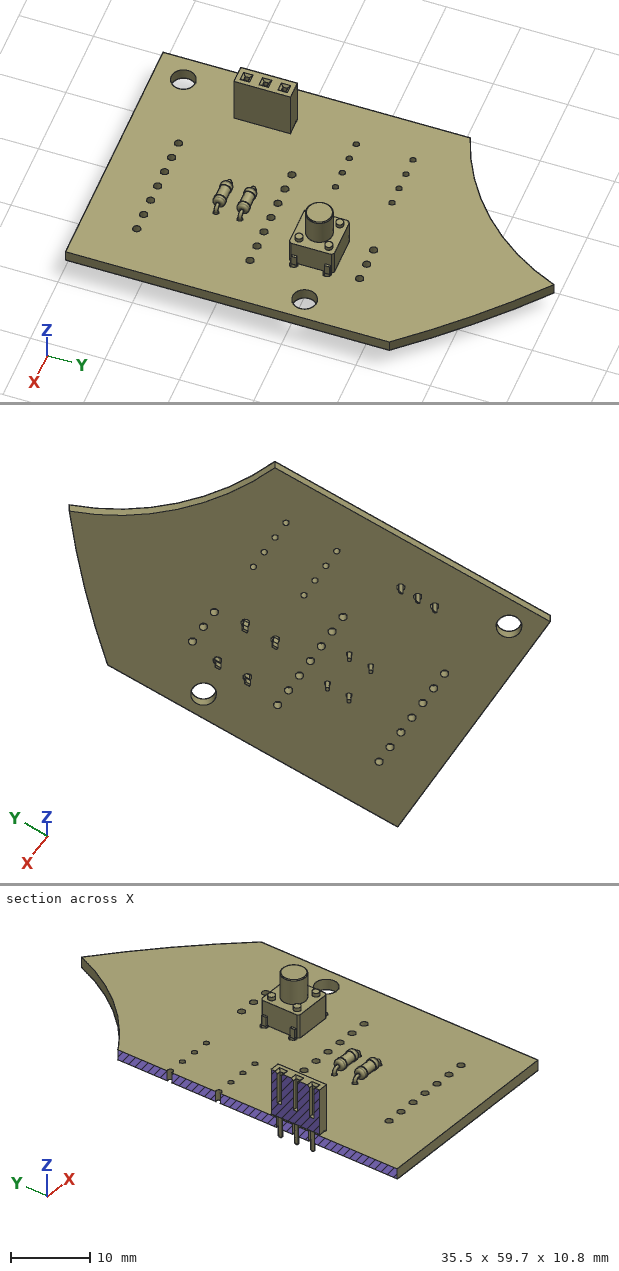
import cadquery as cq
import math


board_width = 35.5
board_length = 59.65
board_thickness = 1.6
left_edge_height = 41.3
right_edge_height = 43.5
peak_x = 19.3
concave_sagitta = 3.0
convex_sagitta = 0.5
mounting_hole_diameter = 3.2
mounting_hole_centres = [(3.4, 4.0), (32.5, 31.0)]

dip_row_length = 15.2
dip_hole_count = 7
pitch = dip_row_length / (dip_hole_count - 1)
grid_x = 5.95
dip_column = 3
dip_row_pitches = 6
dip_x = grid_x + dip_column * pitch
dip_lower_y = 7.1
dip_upper_y = dip_lower_y + dip_row_pitches * pitch
dip_hole_diameter = 1.0
small_ic_hole_count = 4
small_ic_lower_y = 28.15
small_ic_row_pitches = 3
small_ic_upper_y = small_ic_lower_y + small_ic_row_pitches * pitch
small_ic_hole_diameter = 0.8
sensor_hole_count = 3
sensor_x = 21.8
sensor_y = 36.3
sensor_hole_diameter = 1.0

button_x = 24.2
button_y = 29.95
button_width = 6.0
button_top = 5.2
button_corner_chamfer = 0.3
plunger_diameter = 3.5
plunger_top = 8.95
plunger_chamfer = 0.1
stud_diameter = 1.0
stud_spacing = 4.0
stud_top = 5.7
leg_spacing_x = 6.5
leg_spacing_y = 4.5
leg_width = 0.7
leg_thickness = 0.3
leg_bulge = 0.25
leg_top = 3.05
leg_bottom = -1.85
leg_bulge_top = 0.9
leg_bulge_bottom = -0.1
leg_bend_height = 0.7
leg_hole_diameter = 1.1

header_way_count = 3
header_x = grid_x
header_way_offset = 0.05
header_y = 16.0
header_width = 2.5
header_length = header_way_count * pitch
header_top = 8.65
header_recess_width = 1.75
header_recess_height = 0.1
socket_mouth = 1.25
socket_hole = 0.6
socket_funnel_depth = 0.3
socket_depth = 4.8
header_pin_thickness = 0.2
header_pin_width = 0.6
header_pin_tip_chamfer = 0.2
pin_bottom = -1.45
header_hole_diameter = 1.0

resistor_x = 20.2
resistor_rows = [15.5, 18.75]
resistor_lead_pitches = 2
resistor_lead_span = resistor_lead_pitches * pitch
resistor_length = 3.6
resistor_core_length = 1.8
resistor_core_diameter = 1.45
resistor_cap_diameter = 1.6
resistor_cap_fillet = 0.4
resistor_axis_height = board_thickness + resistor_cap_diameter / 2
lead_diameter = 0.5
lead_bend_radius = 0.6
lead_hole_diameter = 0.7

header_ways = [
    (header_x + header_way_offset, header_y + (i - (header_way_count - 1) / 2) * pitch)
    for i in range(header_way_count)
]
leg_centres = [
    (button_x + side_x * leg_spacing_x / 2, button_y + side_y * leg_spacing_y / 2)
    for side_x in (-1, 1)
    for side_y in (-1, 1)
]
lead_centres = [
    (resistor_x + side * resistor_lead_span / 2, y) for y in resistor_rows for side in (-1, 1)
]


def hole_row(x, y, count):
    """Centres of a row of holes along X, one pitch apart."""
    return [(x + i * pitch, y) for i in range(count)]


def arc_middle(start, end, sagitta):
    """Middle of an arc that bulges to the right of the line from start to end."""
    run_x = end[0] - start[0]
    run_y = end[1] - start[1]
    chord = math.hypot(run_x, run_y)
    middle_x = (start[0] + end[0]) / 2 + sagitta * run_y / chord
    middle_y = (start[1] + end[1]) / 2 - sagitta * run_x / chord
    return middle_x, middle_y


def make_board():
    left = (0, left_edge_height)
    right = (board_width, right_edge_height)
    peak = (peak_x, board_length)
    board = (
        cq.Workplane("XY")
        .lineTo(board_width, 0)
        .lineTo(*right)
        .threePointArc(arc_middle(right, peak, convex_sagitta), peak)
        .threePointArc(arc_middle(left, peak, concave_sagitta), left)
        .close()
        .extrude(board_thickness)
    )
    holes = [
        (mounting_hole_diameter, mounting_hole_centres),
        (dip_hole_diameter, hole_row(dip_x, dip_lower_y, dip_hole_count)),
        (dip_hole_diameter, hole_row(dip_x, dip_upper_y, dip_hole_count)),
        (small_ic_hole_diameter, hole_row(grid_x, small_ic_lower_y, small_ic_hole_count)),
        (small_ic_hole_diameter, hole_row(grid_x, small_ic_upper_y, small_ic_hole_count)),
        (sensor_hole_diameter, hole_row(sensor_x, sensor_y, sensor_hole_count)),
        (leg_hole_diameter, leg_centres),
        (header_hole_diameter, header_ways),
        (lead_hole_diameter, lead_centres),
    ]
    for diameter, centres in holes:
        cutters = cq.Workplane("XY").pushPoints(centres).circle(diameter / 2).extrude(board_thickness)
        board = board.cut(cutters)
    return board


def make_button_leg():
    """Leg on the +X side of a button centred on the origin, kinked outward inside the board."""
    inner = button_width / 2
    outer = inner + leg_thickness
    return (
        cq.Workplane("XZ")
        .moveTo(inner, leg_top)
        .lineTo(outer, leg_top)
        .lineTo(outer, leg_bulge_top + leg_bend_height)
        .lineTo(outer + leg_bulge, leg_bulge_top)
        .lineTo(outer + leg_bulge, leg_bulge_bottom)
        .lineTo(outer, leg_bulge_bottom - leg_bend_height)
        .lineTo(outer, leg_bottom)
        .lineTo(inner, leg_bottom)
        .lineTo(inner, leg_bulge_bottom - leg_bend_height)
        .lineTo(inner + leg_bulge, leg_bulge_bottom)
        .lineTo(inner + leg_bulge, leg_bulge_top)
        .lineTo(inner, leg_bulge_top + leg_bend_height)
        .close()
        .extrude(leg_width / 2, both=True)
    )


def make_button():
    base = cq.Workplane("XY").workplane(offset=board_thickness)
    button = (
        base.rect(button_width, button_width)
        .extrude(button_top - board_thickness)
        .edges("|Z")
        .chamfer(button_corner_chamfer)
    )
    top = cq.Workplane("XY").workplane(offset=button_top)
    plunger = (
        top.circle(plunger_diameter / 2)
        .extrude(plunger_top - button_top)
        .faces(">Z")
        .chamfer(plunger_chamfer)
    )
    studs = (
        top.rect(stud_spacing, stud_spacing, forConstruction=True)
        .vertices()
        .circle(stud_diameter / 2)
        .extrude(stud_top - button_top)
    )
    button = button.union(plunger).union(studs)
    right_leg = make_button_leg()
    left_leg = right_leg.mirror("YZ")
    for side in (-1, 1):
        shift = (0, side * leg_spacing_y / 2, 0)
        button = button.union(right_leg.translate(shift)).union(left_leg.translate(shift))
    return button.translate((button_x, button_y, 0))


def make_header():
    header = (
        cq.Workplane("XY", origin=(header_x, header_y, board_thickness))
        .rect(header_width, header_length)
        .extrude(header_top - board_thickness)
    )
    recess = (
        cq.Workplane("XY", origin=(header_x, header_y, board_thickness))
        .rect(header_recess_width, header_length)
        .extrude(header_recess_height)
    )
    header = header.cut(recess)
    for x, y in header_ways:
        mouth = cq.Workplane("XY", origin=(x, y, header_top))
        funnel = (
            mouth.rect(socket_mouth, socket_mouth)
            .workplane(offset=-socket_funnel_depth)
            .rect(socket_hole, socket_hole)
            .loft()
        )
        socket = mouth.rect(socket_hole, socket_hole).extrude(-socket_depth)
        pin = (
            cq.Workplane("XY", origin=(x, y, pin_bottom))
            .rect(header_pin_thickness, header_pin_width)
            .extrude(board_thickness + header_recess_height - pin_bottom)
            .faces("<Z")
            .edges("|X")
            .chamfer(header_pin_tip_chamfer)
        )
        header = header.cut(funnel).cut(socket).union(pin)
    return header


def make_resistor_cap():
    """Rounded cap on the +X end of a resistor body whose axis is X."""
    core_end = resistor_core_length / 2
    return (
        cq.Workplane("YZ", origin=(core_end, 0, resistor_axis_height))
        .circle(resistor_cap_diameter / 2)
        .extrude(resistor_length / 2 - core_end)
        .faces(">X")
        .edges()
        .fillet(resistor_cap_fillet)
    )


def make_resistor_lead():
    """Lead on the +X end of a resistor: out along the axis, then bent down through the board."""
    lead_x = resistor_lead_span / 2
    bend_x = lead_x - lead_bend_radius
    bend_z = resistor_axis_height - lead_bend_radius
    bend_middle = (
        bend_x + lead_bend_radius * math.sin(math.pi / 4),
        bend_z + lead_bend_radius * math.cos(math.pi / 4),
    )
    path = (
        cq.Workplane("XZ")
        .moveTo(lead_x, pin_bottom)
        .lineTo(lead_x, bend_z)
        .threePointArc(bend_middle, (bend_x, resistor_axis_height))
        .lineTo(resistor_core_length / 2, resistor_axis_height)
    )
    return cq.Workplane("XY", origin=(lead_x, 0, pin_bottom)).circle(lead_diameter / 2).sweep(path)


def make_resistor(y):
    resistor = (
        cq.Workplane("YZ", origin=(0, 0, resistor_axis_height))
        .circle(resistor_core_diameter / 2)
        .extrude(resistor_core_length / 2, both=True)
    )
    end = make_resistor_cap().union(make_resistor_lead())
    resistor = resistor.union(end).union(end.mirror("YZ")).clean()
    return resistor.translate((resistor_x, y, 0))


board = make_board()
button = make_button()
header = make_header()
resistors = [make_resistor(y) for y in resistor_rows]

result = cq.Compound.makeCompound(
    [board.val(), button.val(), header.val(), *[resistor.val() for resistor in resistors]]
)